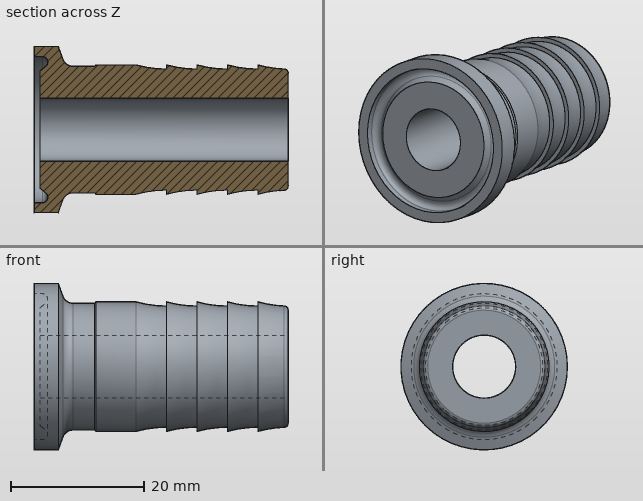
import cadquery as cq
import math

length = 38.1
bore_radius = 9.4 / 2

flange_radius = 25.0 / 2
rim_width = 3.62
back_slope = math.radians(20)
neck_radius = 19.05 / 2
neck_blend = 1.6

groove_radius = 21.9 / 2
groove_wall_depth = 1.22
groove_floor_blend = 0.8
groove_cone_angle = math.radians(40)
inner_face_radius = 8.8

shank_radius = 19.47 / 2
neck_end = 9.05
collar_start = 9.25
collar_end = 15.25
barb_count = 5
barb_pitch = (length - collar_end) / barb_count
barb_root_radius = 9.1
tip_fillet = 0.65


def groove_and_inner_face():
    """Trace from the bore edge across the inner face, down its cone and around the groove to the face."""
    centre_r = groove_radius - groove_floor_blend
    cone_end_x = groove_wall_depth + groove_floor_blend * math.sin(groove_cone_angle)
    cone_end_r = centre_r - groove_floor_blend * math.cos(groove_cone_angle)
    inner_face_x = cone_end_x - (cone_end_r - inner_face_radius) / math.tan(groove_cone_angle)
    return (
        cq.Workplane("XY")
        .moveTo(inner_face_x, bore_radius)
        .lineTo(inner_face_x, inner_face_radius)
        .lineTo(cone_end_x, cone_end_r)
        .tangentArcPoint((groove_wall_depth, groove_radius), relative=False)
        .lineTo(0, groove_radius)
    )


def flange_back(profile):
    """Trace the rim, the sloped back and the arc tangent to both the slope and the neck."""
    blend_start_r = neck_radius + neck_blend * (1 - math.sin(back_slope))
    blend_start_x = rim_width + (flange_radius - blend_start_r) * math.tan(back_slope)
    neck_start = blend_start_x + neck_blend * math.cos(back_slope)
    return (
        profile.lineTo(0, flange_radius)
        .lineTo(rim_width, flange_radius)
        .lineTo(blend_start_x, blend_start_r)
        .tangentArcPoint((neck_start, neck_radius), relative=False)
    )


def barbs(profile):
    """Trace the barbs: each hollows down from its crest to a root parallel to the axis."""
    barb_drop = shank_radius - barb_root_radius
    hollow_radius = (barb_pitch**2 + barb_drop**2) / (2 * barb_drop)
    half_sweep = math.asin(barb_pitch / hollow_radius) / 2
    for index in range(barb_count):
        crest_x = collar_end + index * barb_pitch
        root_x = crest_x + barb_pitch
        middle_x = root_x - hollow_radius * math.sin(half_sweep)
        middle_r = barb_root_radius + hollow_radius * (1 - math.cos(half_sweep))
        profile = profile.lineTo(crest_x, shank_radius)
        profile = profile.threePointArc((middle_x, middle_r), (root_x, barb_root_radius))
    return profile


profile = groove_and_inner_face()
profile = flange_back(profile)
profile = profile.lineTo(neck_end, neck_radius).lineTo(collar_start, shank_radius)
profile = barbs(profile)
profile = profile.lineTo(length, bore_radius).close()
body = profile.revolve(360, (0, 0, 0), (1, 0, 0))

result = body.faces(">X").edges(cq.selectors.RadiusNthSelector(-1)).fillet(tip_fillet)